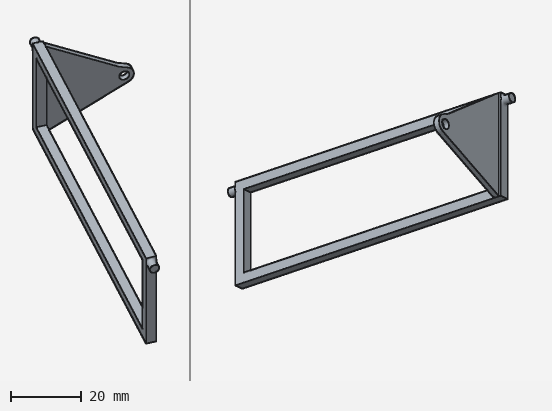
import cadquery as cq
import math

overall_length = 104.0
overall_depth = 29.5
frame_height = 32.0
bar_width = 3.1
frame_depth = 3.1
pin_length = 2.9
frame_length = overall_length - 2 * pin_length

pin_radius = 2.8 / 2
flare_radius = 0.5
pin_y = frame_depth / 2
pin_drop = 2.0
pin_z = frame_height - pin_drop

plate_thickness = 1.9
plate_inset = 0.6
tip_radius = 2.9
hole_diameter = 3.0
hole_y = overall_depth - tip_radius
hole_z = 14.5
shoulder_offset = 1.6
shoulder_rise = 3.7


def make_frame():
    outer = cq.Workplane("XY").box(frame_length, frame_depth, frame_height, centered=(True, False, False))
    window = (
        cq.Workplane("XY")
        .box(
            frame_length - 2 * bar_width,
            frame_depth,
            frame_height - 2 * bar_width,
            centered=(True, False, False),
        )
        .translate((0, 0, bar_width))
    )
    return outer.cut(window)


def make_right_pin():
    """Revolve a pin with a concave root flare, trimmed to the frame depth."""
    root_x = frame_length / 2
    end_x = overall_length / 2
    flare_diagonal = flare_radius * (1 - math.sqrt(0.5))
    pin = (
        cq.Workplane("XY")
        .moveTo(root_x, 0)
        .lineTo(root_x, pin_radius + flare_radius)
        .threePointArc(
            (root_x + flare_diagonal, pin_radius + flare_diagonal),
            (root_x + flare_radius, pin_radius),
        )
        .lineTo(end_x, pin_radius)
        .lineTo(end_x, 0)
        .close()
        .revolve(360, (0, 0, 0), (1, 0, 0))
        .translate((0, pin_y, pin_z))
    )
    depth_limit = cq.Workplane("XY").box(
        overall_length, frame_depth, frame_height, centered=(True, False, False)
    )
    return pin.intersect(depth_limit)


def tip_tangent(y, z, side):
    """Point where a line from (y, z) touches the tip circle; side is +1 above, -1 below."""
    dy = y - hole_y
    dz = z - hole_z
    angle = math.atan2(dz, dy) - side * math.acos(tip_radius / math.hypot(dy, dz))
    return hole_y + tip_radius * math.cos(angle), hole_z + tip_radius * math.sin(angle)


def make_plate():
    shoulder = (hole_y - shoulder_offset, hole_z + shoulder_rise)
    upper_tangent = tip_tangent(*shoulder, 1)
    lower_tangent = tip_tangent(frame_depth, 0, -1)
    return (
        cq.Workplane("YZ")
        .workplane(offset=plate_inset - frame_length / 2)
        .moveTo(frame_depth, 0)
        .lineTo(frame_depth, frame_height)
        .lineTo(*shoulder)
        .lineTo(*upper_tangent)
        .threePointArc((overall_depth, hole_z), lower_tangent)
        .close()
        .moveTo(hole_y, hole_z)
        .circle(hole_diameter / 2)
        .extrude(plate_thickness)
    )


right_pin = make_right_pin()
result = make_frame().union(right_pin).union(right_pin.mirror("YZ")).union(make_plate())